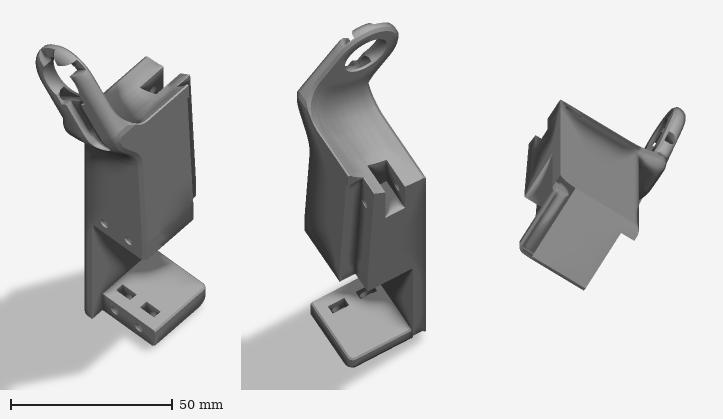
import cadquery as cq
import math

width = 38.2
depth = 39.8
height = 137.4
wall_left = 11.4
wall_inner = 16.2
front_y = 10.0
shoulder_x = 35.3
draft_end_z = 56.3

eye_radius = 12.4
eye_x = eye_radius
eye_z = height - eye_radius
eye_bore = 15.3
plate_thickness = 5.0
arm_tilt = math.radians(40)
arm_sin = math.sin(arm_tilt)
arm_cos = math.cos(arm_tilt)

neck_x = 12.0
neck_z = 130.5
saddle_x = 13.2
saddle_z = 127.0
saddle_radius = 26.0
bend_radius = 10.0
bend_angle = math.radians(45)
neck_start = 25.4

window_bottom = 8.2
window_top = 48.0
tab_front_y = 14.8
tab_back_y = 39.2
tab_corner = 1.9
tab_toe = 1.1
tab_top_chamfer = 0.5
nut_slot_length = 5.9
nut_slot_width = 3.0
nut_slot_depth = 5.8
nut_slot_setback = 5.4
screw_x = (21.3, 31.3)
upper_screw_z = 52.6
lower_screw_z = window_bottom / 2
screw_diameter = 3.2
screw_depth = 11.0

pivot_y = 35.0
pivot_z = 94.5
pivot_bore = 3.2
pivot_counterbore = 6.0
counterbore_depth = 4.1
notch_left = 19.1
notch_right = 26.1
notch_y = 28.7
notch_floor = 88.4
step_y = 33.3
step_z = 107.0
inset_y = 32.4
rear_inset = 5.6

slot_width = 8.0
slot_depth = 2.2
slot_reach = 23.5
end_pocket_start = 21.8
end_pocket_depth = 3.8
seat_up = 8.8
seat_down = 8.0
seat_width = 12.6
tunnel_offset = 5.9
tunnel_width = 4.0
tunnel_height = 3.3
tunnel_back = 4.1
cross_channel_offset = 5.0
cross_channel_width = 4.0
recess_depth = 3.6

front_round = 3.0
right_chamfer = 1.1
back_chamfer = 1.0
heel_radius = 5.5

margin = 6.9
pick = 0.1


def box(x0, x1, y0, y1, z0, z1):
    """Axis-aligned block between two opposite corners."""
    return cq.Workplane("XY").box(x1 - x0, y1 - y0, z1 - z0, centered=False).translate((x0, y0, z0))


def right_side_x(z, inset=0.0):
    """X of the drafted right side at height z."""
    draft = (width - shoulder_x) / (shoulder_z - draft_end_z)
    return width - inset - draft * max(z - draft_end_z, 0.0)


def arm_plane():
    """Front face of the eye plate, local X running down the arm."""
    return cq.Workplane(cq.Plane(origin=(eye_x, 0, eye_z), xDir=(arm_sin, 0, -arm_cos), normal=(0, -1, 0)))


tangent_dx = eye_radius * arm_cos
tangent_dz = eye_radius * arm_sin
shoulder_z = eye_z + tangent_dz - (shoulder_x - eye_x - tangent_dx) / math.tan(arm_tilt)
elbow_z = eye_z - tangent_dz - (wall_left - eye_x + tangent_dx) / math.tan(arm_tilt)


def blank():
    """Full-depth block with the outline of the grip, arm and eye."""
    outline = (
        cq.Workplane("XZ")
        .moveTo(wall_left, 0)
        .lineTo(width, 0)
        .lineTo(width, draft_end_z)
        .lineTo(shoulder_x, shoulder_z)
        .lineTo(eye_x + tangent_dx, eye_z + tangent_dz)
        .threePointArc(
            (eye_x - eye_radius * arm_sin, eye_z + eye_radius * arm_cos),
            (eye_x - tangent_dx, eye_z - tangent_dz),
        )
        .lineTo(wall_left, elbow_z)
        .close()
    )
    return outline.extrude(-depth)


def front_relief():
    """Sets the grip's front face back from the eye plate through an S-bend."""
    half = bend_angle / 2
    run = bend_radius * math.sin(bend_angle)
    rise = bend_radius * (1 - math.cos(bend_angle))
    mid_run = bend_radius * math.sin(half)
    mid_rise = bend_radius * (1 - math.cos(half))
    ramp = front_y - 2 * rise
    neck_end = neck_start + 2 * run + ramp
    far = neck_z + width
    profile = (
        cq.Workplane("XY", origin=(neck_x, 0, neck_z))
        .moveTo(neck_start, 0)
        .threePointArc((neck_start + mid_run, mid_rise), (neck_start + run, rise))
        .lineTo(neck_start + run + ramp, rise + ramp)
        .threePointArc((neck_end - mid_run, front_y - mid_rise), (neck_end, front_y))
        .lineTo(far, front_y)
        .lineTo(far, 0)
        .close()
    )
    return profile.revolve(360, (0, 0), (0, 1))


def saddle():
    """Clears the space behind the eye plate, rounded into the grip top."""
    inner = saddle_radius - bend_radius
    fillet_y = plate_thickness + bend_radius
    diagonal = bend_radius * math.sqrt(0.5)
    profile = (
        cq.Workplane("XY", origin=(saddle_x, 0, saddle_z))
        .moveTo(0, plate_thickness)
        .lineTo(inner, plate_thickness)
        .threePointArc((inner + diagonal, fillet_y - diagonal), (saddle_radius, fillet_y))
        .lineTo(saddle_radius, depth + margin)
        .lineTo(0, depth + margin)
        .close()
    )
    return profile.revolve(360, (0, 0), (0, 1))


def round_front_rim(body):
    """Rounds the front edge down the left wall, over the neck and around the eye."""
    wall_edges = cq.selectors.BoxSelector(
        (wall_left - pick, -pick, 0), (wall_left + pick, front_y + pick, elbow_z - pick)
    )
    arm_edges = cq.selectors.BoxSelector(
        (-pick, -pick, elbow_z), (shoulder_x - front_round, pick, height + pick)
    )
    return body.edges(wall_edges + arm_edges).fillet(front_round)


def chamfer_right_edge(body):
    """Breaks the grip's front right edge."""
    edges = cq.selectors.BoxSelector(
        (shoulder_x, front_y - pick, 0), (width + pick, front_y + pick, shoulder_z)
    )
    return body.edges(edges).edges("not |X").chamfer(right_chamfer)


def chamfer_back_edges(body):
    """Breaks the outer edges of the saddle and of the eye plate's back."""
    box_edges = cq.selectors.BoxSelector
    low = saddle_z - saddle_radius - pick
    left = box_edges(
        (wall_left - pick, plate_thickness, low),
        (wall_left + pick, depth - pick, elbow_z - pick),
    )
    right = box_edges((shoulder_x, front_y, low), (width, depth - pick, shoulder_z))
    around = box_edges((-pick, plate_thickness - pick, elbow_z), (shoulder_x, front_y, height + pick))
    inside = box_edges(
        (wall_left, plate_thickness - pick, elbow_z),
        (saddle_x + saddle_radius / 2, plate_thickness + pick, eye_z - eye_radius / 2),
    )
    edges = body.edges((left + right + around) - inside).edges("not |Y")
    return edges.chamfer(back_chamfer)


def servo_window():
    """Open window, with the tab below it set back from both faces."""
    opening = box(wall_inner, width + margin, -margin, depth + margin, window_bottom, window_top)
    below = -margin
    tab_front = box(wall_inner, width + margin, -margin, tab_front_y, below, window_top)
    tab_back = box(wall_inner, width + margin, tab_back_y, depth + margin, below, window_top)
    return opening.union(tab_front).union(tab_back)


def finish_tab(body):
    """Rounds the tab's rear corner and breaks its right edges."""
    tab = cq.selectors.BoxSelector(
        (width - pick, tab_front_y - pick, -pick),
        (width + pick, depth, window_bottom + pick),
    )
    body = body.edges(tab).edges("|Z and >Y").fillet(tab_corner)
    body = body.edges(tab).edges("|Y and >Z").chamfer(tab_top_chamfer)
    return body.edges(tab).edges("|Y and <Z").chamfer(tab_toe)


def screw_holes(face_y, z):
    """Row of blind screw holes at height z, drilled from a face at face_y."""
    row = cq.Workplane("XZ", origin=(0, face_y, z)).pushPoints([(x, 0) for x in screw_x])
    return row.circle(screw_diameter / 2).extrude(-screw_depth)


def nut_slots():
    """Nut pockets sunk into the top of the tab, one across each lower screw."""
    slots = cq.Workplane("XY", origin=(0, 0, window_bottom))
    slots = slots.pushPoints([(x, tab_front_y + nut_slot_setback) for x in screw_x])
    return slots.rect(nut_slot_length, nut_slot_width).extrude(-nut_slot_depth)


def rear_step():
    """Lowers the rear of the saddle ridge and sets in the right side below it."""
    step = box(notch_right, width + margin, step_y, depth + margin, step_z, height)
    inset = (
        cq.Workplane("XZ", origin=(0, inset_y, 0))
        .moveTo(right_side_x(window_top, rear_inset), window_top)
        .lineTo(right_side_x(draft_end_z, rear_inset), draft_end_z)
        .lineTo(right_side_x(step_z, rear_inset), step_z)
        .lineTo(width + margin, step_z)
        .lineTo(width + margin, window_top)
        .close()
        .extrude(inset_y - depth - margin)
    )
    return step.union(inset)


def hinge_notch():
    """Slot open to the rear that splits the hinge into two cheeks."""
    return box(notch_left, notch_right, notch_y, depth + margin, notch_floor, height)


def pivot_hole():
    """Cross hole through the hinge, counterbored in the left wall."""
    start = cq.Workplane("YZ", origin=(wall_left, pivot_y, pivot_z))
    bore = start.circle(pivot_bore / 2).extrude(width)
    return bore.union(start.circle(pivot_counterbore / 2).extrude(counterbore_depth))


def arm_box(u0, u1, v0, v1, depth_in):
    """Pocket in the plate front: u runs down the arm, v across it."""
    return (
        arm_plane()
        .center((u0 + u1) / 2, (v0 + v1) / 2)
        .rect(u1 - u0, v1 - v0)
        .extrude(-depth_in)
    )


def tunnel():
    """Covered passage, round toward the front and flat at the back."""
    half = tunnel_width / 2
    section = cq.Plane(
        origin=(eye_x + tunnel_offset * arm_sin, 0, eye_z - tunnel_offset * arm_cos),
        xDir=(arm_sin, 0, -arm_cos),
        normal=(arm_cos, 0, arm_sin),
    )
    crown = tunnel_back - tunnel_height
    outline = (
        cq.Workplane(section)
        .moveTo(-half, tunnel_back)
        .lineTo(half, tunnel_back)
        .lineTo(half, crown + half)
        .threePointArc((0, crown), (-half, crown + half))
        .close()
    )
    return outline.extrude(-eye_radius - margin)


def eye_cuts():
    """Bore of the eye and the stepped pockets around it."""
    reach = eye_radius + margin
    half_channel = cross_channel_width / 2
    bore = arm_plane().circle(eye_bore / 2).extrude(-plate_thickness - margin)
    slot = arm_box(-reach, slot_reach, -slot_width / 2, slot_width / 2, slot_depth)
    pocket_length = slot_reach - end_pocket_start + slot_width
    end_pocket = (
        arm_plane()
        .center((slot_reach + end_pocket_start) / 2, 0)
        .slot2D(pocket_length, slot_width)
        .extrude(-end_pocket_depth)
    )
    seat_top = arm_box(-seat_up, 0, -slot_width / 2, slot_width / 2, recess_depth)
    seat = arm_box(0, seat_down, -seat_width / 2, seat_width / 2, recess_depth).union(seat_top)
    channel = arm_box(
        -cross_channel_offset - half_channel,
        -cross_channel_offset + half_channel,
        0,
        reach,
        recess_depth,
    )
    return bore.union(slot).union(end_pocket).union(seat).union(channel).union(tunnel())


body = blank().cut(front_relief())
body = round_front_rim(body)
body = chamfer_right_edge(body)
body = body.cut(saddle())
body = chamfer_back_edges(body)
body = body.edges("|X and >Y and <Z").fillet(heel_radius)
body = body.cut(servo_window())
body = finish_tab(body)
body = body.cut(rear_step())
body = body.cut(hinge_notch())
body = body.cut(pivot_hole())
body = body.cut(screw_holes(front_y, upper_screw_z))
body = body.cut(screw_holes(tab_front_y, lower_screw_z))
body = body.cut(nut_slots())
result = body.cut(eye_cuts())